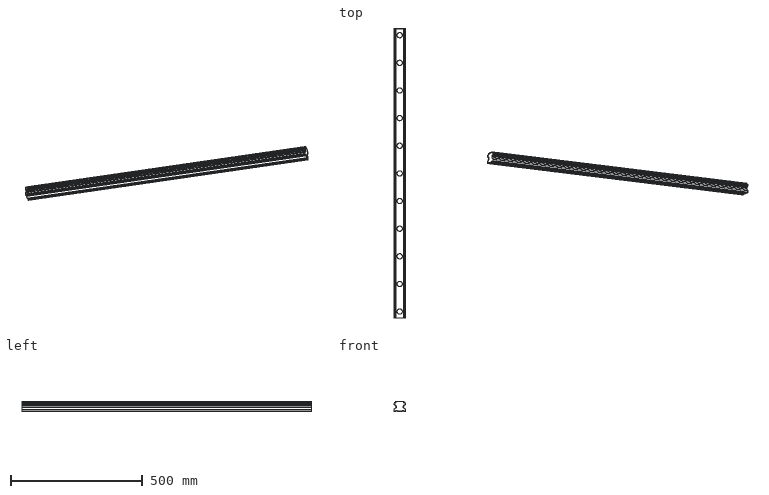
import cadquery as cq

rail_width = 45.0
rail_length = 1100.0
rail_height = 38.0

top_width = 28.8
top_chamfer = 0.8
land_width = 30.4
shoulder_z = 33.8
shoulder_drop = 0.8
head_side_top = 29.8
head_side_bottom = 26.7
head_chamfer = 3.2
undercut_z = 22.8
undercut_rise = 1.2
lip_bottom = 21.0

neck_width = 28.0
neck_top = 20.0
neck_bottom = 15.0
foot_side_height = 7.4
foot_chamfer = 1.5

relief_offset = 11.6
relief_mouth = 7.5
relief_floor = 5.0
relief_depth = 2.0

hole_count = 11
hole_pitch = 105.0
hole_diameter = 20.0
hole_depth = 0.5


def rail_body():
    """Symmetric rail section swept along Y, centred on the origin in X and Y."""
    half_width = rail_width / 2
    right_side = [
        (half_width - foot_chamfer, 0),
        (half_width, foot_chamfer),
        (half_width, foot_side_height),
        (neck_width / 2, neck_bottom),
        (neck_width / 2, neck_top),
        (land_width / 2, lip_bottom),
        (land_width / 2, undercut_z),
        (half_width - head_chamfer, undercut_z + undercut_rise),
        (half_width, head_side_bottom),
        (half_width, head_side_top),
        (half_width - head_chamfer, shoulder_z - shoulder_drop),
        (land_width / 2, shoulder_z),
        (land_width / 2, rail_height - top_chamfer),
        (top_width / 2, rail_height),
    ]
    left_side = [(-x, z) for x, z in reversed(right_side)]
    section = cq.Workplane("XZ").polyline(right_side + left_side).close()
    return section.extrude(rail_length / 2, both=True)


def relief_grooves():
    """Pair of full-length tapered grooves in the underside."""
    groove_section = [
        (-relief_mouth / 2, 0),
        (-relief_floor / 2, relief_depth),
        (relief_floor / 2, relief_depth),
        (relief_mouth / 2, 0),
    ]
    groove = cq.Workplane("XZ").polyline(groove_section).close().extrude(rail_length / 2, both=True)
    left_groove = groove.translate((-relief_offset, 0, 0))
    right_groove = groove.translate((relief_offset, 0, 0))
    return left_groove.union(right_groove)


def mounting_recesses():
    """Row of round recesses along the middle of the top face."""
    return (
        cq.Workplane("XY", origin=(0, 0, rail_height))
        .rarray(1, hole_pitch, 1, hole_count)
        .circle(hole_diameter / 2)
        .extrude(-hole_depth)
    )


result = rail_body().cut(relief_grooves()).cut(mounting_recesses())